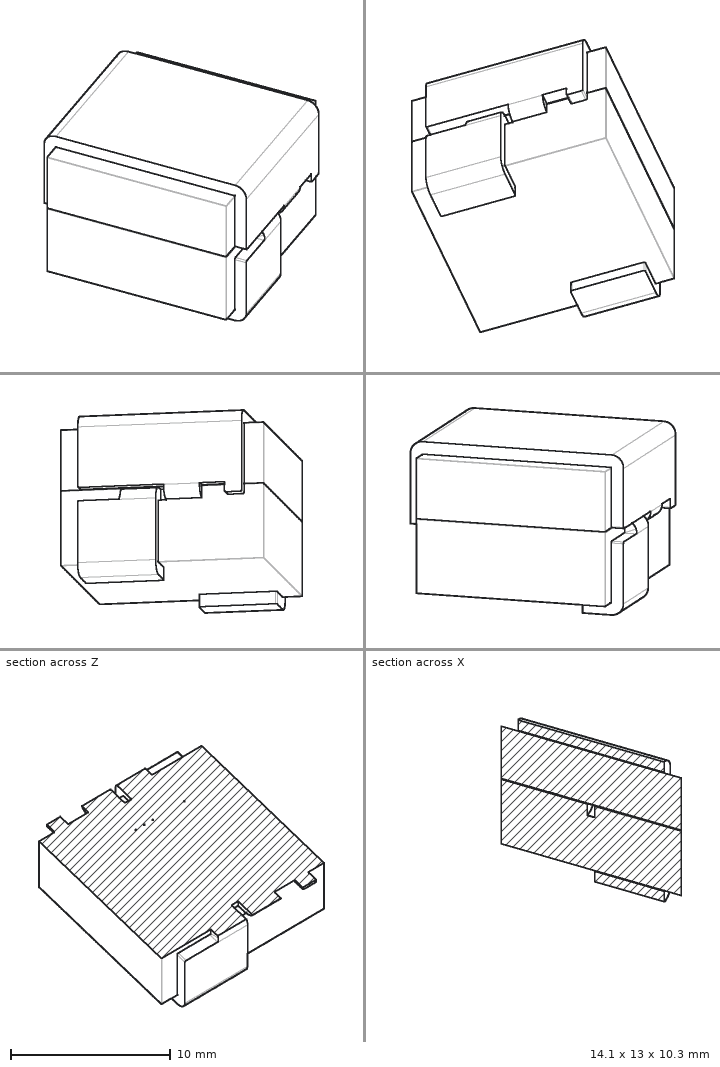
import cadquery as cq
import math

core_length_x = 12.5
core_width_y = 13.0
lower_core_height = 4.8
upper_core_height = 3.9
core_edge_radius = 0.03

strip_thickness = 0.8
strip_width = 10.5
strip_corner_radius = 0.1

leg_gap = 0.5
foot_tip_x = 4.3

fold_width = 2.3
window_height = 0.85
tab_width = 1.1
tab_drop = 0.65

flare_width = 0.1
flare_angle = 22
flare_axis_height = 0.01

core_bottom_z = strip_thickness
parting_z = core_bottom_z + lower_core_height
core_top_z = parting_z + upper_core_height
total_height = core_top_z + strip_thickness
core_side_x = core_length_x / 2
outer_side_x = core_side_x + strip_thickness
strip_edge_y = strip_width / 2
leg_inner_y = leg_gap / 2
window_bottom_z = parting_z - window_height
fold_radius = strip_thickness


def box(x_range, y_range, z_range):
    """Axis-aligned block given by its (low, high) limits."""
    size = [high - low for low, high in (x_range, y_range, z_range)]
    corner = (x_range[0], y_range[0], z_range[0])
    return cq.Workplane("XY").box(*size, centered=False).translate(corner)


def core_block(bottom_z, height):
    """One core half with all of its edges rounded."""
    block = cq.Workplane("XY").box(core_length_x, core_width_y, height, centered=(True, True, False))
    return block.edges().fillet(core_edge_radius).translate((0, 0, bottom_z))


def make_core():
    """Both core halves, stacked on the parting plane."""
    lower = core_block(core_bottom_z, lower_core_height)
    upper = core_block(parting_z, upper_core_height)
    return lower.union(upper)


def make_cover():
    """Inverted U of strip over the top of the core, down to the parting plane."""
    cover = box((-outer_side_x, outer_side_x), (-strip_edge_y, strip_edge_y), (parting_z, total_height))
    cover = cover.edges("|Y and >Z").fillet(fold_radius)
    inside = box((-core_side_x, core_side_x), (-strip_edge_y, strip_edge_y), (parting_z, core_top_z))
    cover = cover.cut(inside)
    cover = cover.edges("|X and <Z").edges("<X").edges(">Y").fillet(strip_corner_radius)
    return cover.edges("|X and <Z").edges(">X").edges("<Y").fillet(strip_corner_radius)


def make_tab():
    """Short tongue continuing the cover wall downward at its -Y edge on the -X side."""
    tab = box(
        (-outer_side_x, -core_side_x),
        (-strip_edge_y, -strip_edge_y + tab_width),
        (parting_z - tab_drop, parting_z),
    )
    return tab.edges("|X and <Z").fillet(strip_corner_radius)


def make_terminal():
    """L-shaped leg on the -X side: upright wall, bottom bend and solder foot."""
    y_range = (leg_inner_y, strip_edge_y)
    leg = box((-outer_side_x, -foot_tip_x), y_range, (0, window_bottom_z))
    leg = leg.edges("|Y and <X and <Z").fillet(fold_radius)
    leg = leg.cut(box((-core_side_x, -foot_tip_x), y_range, (core_bottom_z, window_bottom_z)))
    leg = leg.edges("|X and >Y and >Z").fillet(strip_corner_radius)
    return leg.edges("|Z and >X").fillet(strip_corner_radius)


def quarter_round(low_y, width, center_z, vertical_sign):
    """Quarter cylinder on the -X side, turning up (+1) or down (-1) from the wall into the core."""
    diagonal = fold_radius * math.sqrt(0.5)
    return (
        cq.Workplane("XZ", origin=(-core_side_x, low_y, center_z))
        .lineTo(-fold_radius, 0)
        .threePointArc((-diagonal, vertical_sign * diagonal), (0, vertical_sign * fold_radius))
        .close()
        .extrude(-width)
    )


def make_leg_flare():
    """Concave root beside the leg fold; its height fans out from the bend axis to the outer face."""
    root_y = leg_inner_y + fold_width
    outer_height = fold_radius * math.tan(math.radians(flare_angle))
    inset = 1 - math.sqrt(0.5)
    flare = cq.Workplane("YZ", origin=(-core_side_x, root_y, window_bottom_z))
    for step, height in ((0, flare_axis_height), (-strip_thickness, outer_height)):
        flare = (
            flare.workplane(offset=step)
            .lineTo(flare_width, 0)
            .spline(
                [(flare_width * inset, height * inset), (0, height)],
                tangents=[(-1, 0), (0, 1)],
                includeCurrent=True,
            )
            .close()
        )
    flare = flare.loft(ruled=True)
    return flare.intersect(quarter_round(root_y, flare_width, window_bottom_z, 1))


def make_leg_fold():
    """Top of the leg, folding upward into the core."""
    return quarter_round(leg_inner_y, fold_width, window_bottom_z, 1)


def make_cover_fold():
    """Bottom of the cover wall, folding downward into the core."""
    return quarter_round(-leg_inner_y - fold_width, fold_width, parting_z, -1)


def make_window_recess():
    """Pocket in the -X core side between the two folds, one strip thickness deep."""
    return box(
        (-core_side_x, -core_side_x + strip_thickness),
        (-leg_inner_y, leg_inner_y),
        (window_bottom_z, parting_z),
    )


def both_sides(feature):
    """The -X feature together with its half-turn copy on the +X side."""
    return [feature, feature.rotate((0, 0, 0), (0, 0, 1), 180)]


core = make_core()
for recess in both_sides(make_window_recess()):
    core = core.cut(recess)

side_features = [
    make_terminal(),
    make_tab(),
    make_leg_fold(),
    make_leg_flare(),
    make_cover_fold(),
]

result = core.union(make_cover())
for side_feature in side_features:
    for placed in both_sides(side_feature):
        result = result.union(placed)